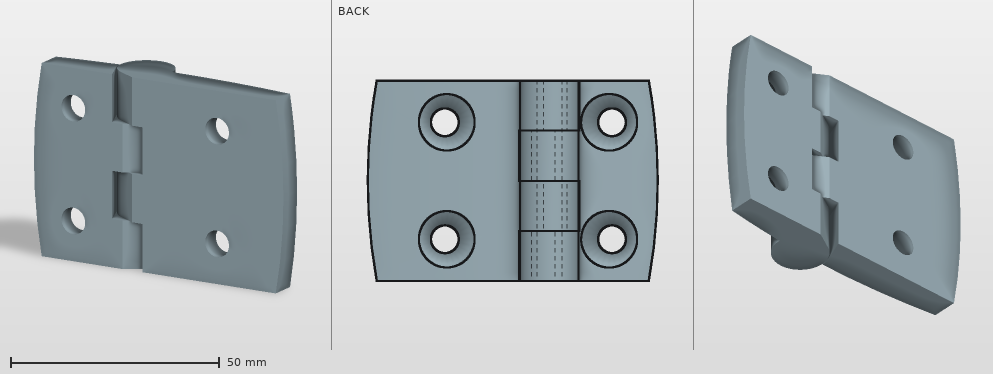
import cadquery as cq
import math


length = 69.5
height = 48.0
left_reach = 26.0
right_reach = length - left_reach
middle_x = length / 2 - left_reach
end_bulge = 2.15

depth = 16.0
barrel_radius = 7.0
base_y = barrel_radius - depth
pin_diameter = 6.0

crown_thickness = 9.0
tip_thickness = 6.4
crown_drop = crown_thickness - tip_thickness
crown_radius = ((length / 2) ** 2 + crown_drop ** 2) / (2 * crown_drop)
crown_y = base_y + crown_thickness
crown_center_y = crown_y - crown_radius

knuckle_count = 4
knuckle_height = height / knuckle_count
recess_radius = 7.2
knuckle_foot = 1.4
recess_middle_angle = math.radians(-10)
recess_foot = 4.25

hole_diameter = 6.6
head_diameter = 13.5
countersink_angle = 90.0
countersink_overrun = 0.8
hole_spacing = 28.0
left_hole_x = -15.0
right_hole_x = 25.0


def crown_height(x):
    """Y of the crowned face at x."""
    return crown_center_y + math.sqrt(crown_radius ** 2 - (x - middle_x) ** 2)


def polar(radius, angle):
    return (radius * math.cos(angle), radius * math.sin(angle))


def circle_meets_crown(radius, side):
    """Angle where a circle about the pin axis crosses the crowned face on the given side."""
    distance = math.hypot(middle_x, crown_center_y)
    toward_center = math.atan2(crown_center_y, middle_x)
    cosine = (radius ** 2 + distance ** 2 - crown_radius ** 2) / (2 * radius * distance)
    return toward_center + side * math.acos(cosine)


def leaf_section(side, reach, radius, foot, wraps_pin):
    """Leaf cross-section whose inner edge is a slanted face tangent to an arc about the pin.

    side is +1 for the right leaf and -1 for the left; foot is its distance from the axis.
    A section that wraps the pin is a knuckle; one that does not is a recess.
    """
    foot_angle = math.atan2(base_y, foot)
    tangent_offset = math.acos(radius / math.hypot(foot, base_y))
    turn = -1 if wraps_pin else 1
    tangent_x, tangent_y = polar(radius, foot_angle + turn * tangent_offset)
    middle_arc_x, middle_arc_y = polar(radius, math.pi / 2 if wraps_pin else recess_middle_angle)
    tip_x = side * reach
    inner_x, inner_y = polar(radius, circle_meets_crown(radius, side))
    crown_x = (inner_x + tip_x) / 2
    return (
        cq.Workplane("XY", origin=(0, 0, -height / 2))
        .moveTo(side * foot, base_y)
        .lineTo(side * tangent_x, tangent_y)
        .threePointArc((side * middle_arc_x, middle_arc_y), (inner_x, inner_y))
        .threePointArc((crown_x, crown_height(crown_x)), (tip_x, crown_height(tip_x)))
        .lineTo(tip_x, base_y)
        .close()
    )


def plate_envelope():
    """Plate outline with curved ends, through the full depth."""
    left_corner = end_bulge - left_reach
    right_corner = right_reach - end_bulge
    return (
        cq.Workplane("XZ", origin=(0, base_y, 0))
        .moveTo(left_corner, -height / 2)
        .lineTo(right_corner, -height / 2)
        .threePointArc((right_reach, 0), (right_corner, height / 2))
        .lineTo(left_corner, height / 2)
        .threePointArc((-left_reach, 0), (left_corner, -height / 2))
        .close()
        .extrude(-depth)
    )


def screw_hole(x, z):
    """Through hole with a countersink in the crowned face."""
    hole_radius = hole_diameter / 2
    widening = math.tan(math.radians(countersink_angle / 2))
    seat_y = crown_height(x) - (head_diameter / 2 - hole_radius) / widening
    top_y = crown_height(x) + countersink_overrun
    top_radius = hole_radius + (top_y - seat_y) * widening
    profile = [
        (0, base_y),
        (hole_radius, base_y),
        (hole_radius, seat_y),
        (top_radius, top_y),
        (0, top_y),
    ]
    return (
        cq.Workplane("XY")
        .polyline(profile)
        .close()
        .revolve(360, (0, 0), (0, 1))
        .translate((x, 0, z))
    )


def pin_cylinder():
    return cq.Workplane("XY", origin=(0, 0, -height / 2)).circle(pin_diameter / 2).extrude(height)


def make_leaf(side, reach, hole_x, first_knuckle):
    """Leaf with knuckles in every second layer, counted upward from first_knuckle."""
    leaf = leaf_section(side, reach, recess_radius, recess_foot, wraps_pin=False).extrude(height)
    knuckle = leaf_section(side, reach, barrel_radius, knuckle_foot, wraps_pin=True).extrude(knuckle_height)
    for layer in range(first_knuckle, knuckle_count, 2):
        leaf = leaf.union(knuckle.translate((0, 0, layer * knuckle_height)))
    leaf = leaf.intersect(plate_envelope()).cut(pin_cylinder())
    for z in (-hole_spacing / 2, hole_spacing / 2):
        leaf = leaf.cut(screw_hole(hole_x, z))
    return leaf


left_leaf = make_leaf(-1, left_reach, left_hole_x, first_knuckle=0)
right_leaf = make_leaf(1, right_reach, right_hole_x, first_knuckle=1)
pin = pin_cylinder()

result = cq.Compound.makeCompound([left_leaf.solids().val(), right_leaf.solids().val(), pin.val()])